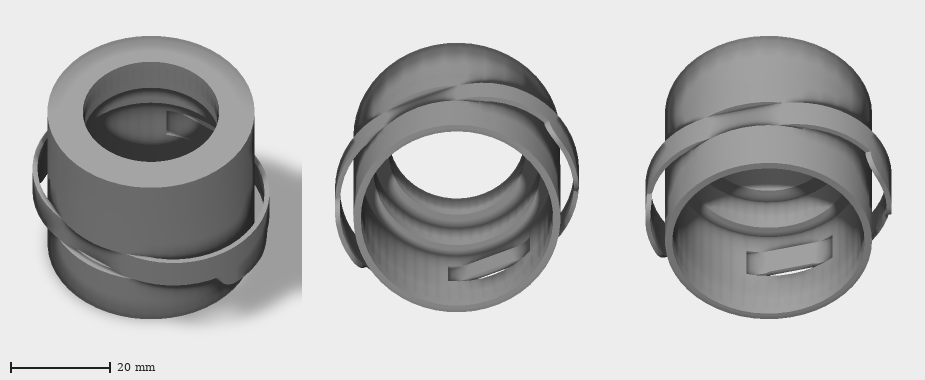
import cadquery as cq

height = 39.0
shell_diameter = 41.7
shell_top_diameter = 41.75
shell_bore = 38.75

ring_length = 50.0
ring_width = shell_bore
ring_wall = 1.0
ring_top = 18.7
ring_bottom = 12.05
relief_length = 11.0
relief_ramp = 1.25
relief_height = 0.3

tab_width = 16.0
tab_bottom = 8.0
tab_corner_radius = 4.0

slot_floor = 11.6
slot_depth_plane = 17.2

insert_bore = 27.5
insert_counterbore = 33.75
insert_step = 31.3
insert_bottom = 23.5


def cylinder(diameter, bottom, top):
    return cq.Workplane("XY").workplane(offset=bottom).circle(diameter / 2).extrude(top - bottom)


def make_tube_with_slots():
    lower = cylinder(shell_diameter, 0, ring_top)
    upper = (
        cq.Workplane("XY").workplane(offset=ring_top).circle(shell_diameter / 2)
        .workplane(offset=height - ring_top).circle(shell_top_diameter / 2)
        .loft(ruled=True)
    )
    tube = lower.union(upper).cut(cylinder(shell_bore, 0, height))
    slot_cut_depth = shell_diameter / 2
    for side in (-1, 1):
        slot = (
            cq.Workplane("XY", origin=(0, side * (slot_depth_plane + slot_cut_depth / 2), slot_floor))
            .rect(shell_diameter, slot_cut_depth)
            .extrude(ring_top - slot_floor)
        )
        tube = tube.cut(slot)
    return tube


def make_ring():
    """Oval band with a tab below each end and a shallow relief under each flat."""
    band = (
        cq.Workplane("XY", origin=(0, 0, tab_bottom))
        .slot2D(ring_length, ring_width)
        .slot2D(ring_length - 2 * ring_wall, ring_width - 2 * ring_wall)
        .extrude(ring_top - tab_bottom)
    )
    ring_profile = (
        cq.Workplane("XY", origin=(0, 0, ring_bottom))
        .rect(ring_length, ring_width)
        .extrude(ring_top - ring_bottom)
    )
    tab_profile = (
        cq.Workplane("XY", origin=(0, 0, tab_bottom))
        .rect(ring_length, tab_width)
        .extrude(ring_top - tab_bottom)
        .edges("|X and <Z").fillet(tab_corner_radius)
    )
    relief = (
        cq.Workplane("XZ", origin=(0, 0, ring_bottom))
        .moveTo(-relief_length / 2, 0)
        .lineTo(relief_length / 2, 0)
        .lineTo(relief_length / 2 - relief_ramp, relief_height)
        .lineTo(-relief_length / 2 + relief_ramp, relief_height)
        .close()
        .extrude(ring_width, both=True)
    )
    return band.intersect(ring_profile.union(tab_profile)).cut(relief)


def make_insert():
    return (
        cylinder(shell_bore, insert_bottom, height)
        .cut(cylinder(insert_bore, insert_step, height))
        .cut(cylinder(insert_counterbore, insert_bottom, insert_step))
    )


shell = make_tube_with_slots().union(make_ring())
insert = make_insert()

result = cq.Compound.makeCompound([*shell.solids().vals(), *insert.solids().vals()])